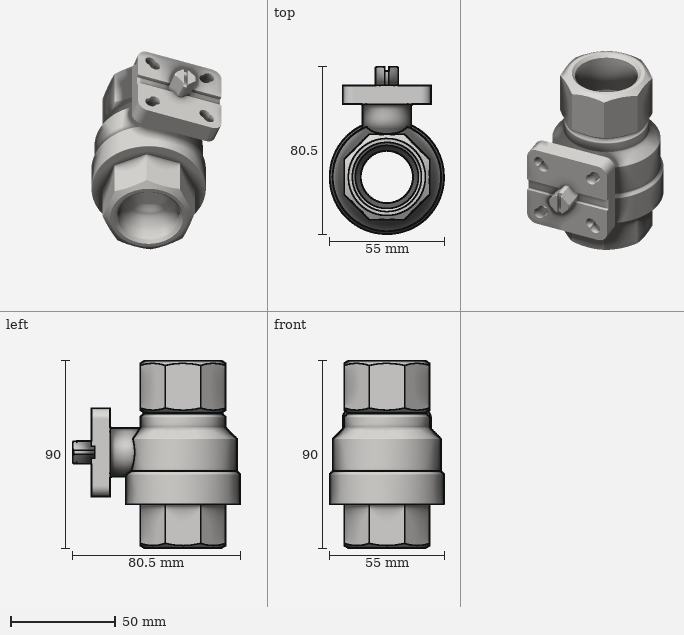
import cadquery as cq
import math

TOP_Z = 44.0
BOTTOM_Z = -46.0

OCTAGON_SIDES = 8
OCTAGON_FLATS = 41.0
OCTAGON_CROWN_DIAMETER = 37.0
CROWN_ANGLE = 32.0
UPPER_OCTAGON_BOTTOM_Z = 19.0

GROOVE_DIAMETER = 37.8
GROOVE_HEIGHT = 0.4
COLLAR_DIAMETER = 41.0
COLLAR_BOTTOM_Z = 12.0
BODY_DIAMETER = 52.0
RING_DIAMETER = 55.0
RING_TOP_Z = -9.0
RING_BOTTOM_Z = -25.0
EDGE_FILLET = 0.4
POSITION_TOLERANCE = 0.01

BORE_DIAMETER = 25.0
SOCKET_DIAMETER = 30.29
SOCKET_MOUTH_DIAMETER = 33.25
SOCKET_DEPTH = 20.0
SOCKET_FLOOR_ANGLE = 45.0

NECK_DIAMETER = 23.5
NECK_FILLET = 1.0
PLATE_SIDE = 42.5
PLATE_CORNER_RADIUS = 5.0
PLATE_OUTER_Y = 44.0
PLATE_THICKNESS = 9.0
PLATE_GROOVE_WIDTH = 5.75
PLATE_GROOVE_DEPTH = 1.7
BOLT_HOLE_DIAMETER = 5.5
BOLT_CIRCLES = (36.0, 42.0)
BOLT_ANGLES = (45, 135, 225, 315)

STEM_END_Y = 53.0
STEM_FLATS = 9.0
STEM_TURN_ANGLE = 45.0
STEM_DIAMETER = 11.0
STEM_END_CHAMFER = 0.6
STEM_SLOT_WIDTH = 2.0
STEM_SLOT_DEPTH = 2.0

PLATE_INNER_Y = PLATE_OUTER_Y - PLATE_THICKNESS
PLATE_GROOVE_FLOOR_Y = PLATE_OUTER_Y - PLATE_GROOVE_DEPTH


def revolve_z(points):
    """Revolve a closed (radius, z) outline about the Z axis."""
    return cq.Workplane("XZ").polyline(points).close().revolve(360, (0, 0), (0, 1))


def plane_and_length(start_y, end_y):
    """Sketch plane at end_y that extrudes toward -Y, and the length that reaches start_y."""
    return cq.Workplane("XZ", origin=(0, end_y, 0)), end_y - start_y


def octagon_end(bottom_z, top_z, crown_top):
    """Octagonal prism crowned by a cone at the bottom and, if asked, at the top."""
    half_sector = 180 / OCTAGON_SIDES
    corner_diameter = OCTAGON_FLATS / math.cos(math.radians(half_sector))
    prism = (
        cq.Workplane("XY", origin=(0, 0, bottom_z))
        .transformed(rotate=(0, 0, half_sector))
        .polygon(OCTAGON_SIDES, corner_diameter)
        .extrude(top_z - bottom_z)
    )
    outer_radius = corner_diameter
    crown_radius = OCTAGON_CROWN_DIAMETER / 2
    crown_drop = (outer_radius - crown_radius) * math.tan(math.radians(CROWN_ANGLE))
    bottom_cone = revolve_z([
        (crown_radius, bottom_z),
        (outer_radius, bottom_z),
        (outer_radius, bottom_z + crown_drop),
    ])
    top_cone = revolve_z([
        (crown_radius, top_z),
        (outer_radius, top_z),
        (outer_radius, top_z - crown_drop),
    ])
    crowned = prism.cut(bottom_cone)
    if crown_top:
        crowned = crowned.cut(top_cone)
    return crowned


def round_body():
    """Groove, collar, 45 degree shoulder, main body and ring, with rounded edges."""
    groove_radius = GROOVE_DIAMETER / 2
    collar_radius = COLLAR_DIAMETER / 2
    body_radius = BODY_DIAMETER / 2
    ring_radius = RING_DIAMETER / 2
    groove_bottom_z = UPPER_OCTAGON_BOTTOM_Z - GROOVE_HEIGHT
    collar_top_z = groove_bottom_z - (collar_radius - groove_radius)
    shoulder_bottom_z = COLLAR_BOTTOM_Z - (body_radius - collar_radius)
    ring_edge_z = RING_TOP_Z - (ring_radius - body_radius)
    body = revolve_z([
        (0, UPPER_OCTAGON_BOTTOM_Z),
        (groove_radius, UPPER_OCTAGON_BOTTOM_Z),
        (groove_radius, groove_bottom_z),
        (collar_radius, collar_top_z),
        (collar_radius, COLLAR_BOTTOM_Z),
        (body_radius, shoulder_bottom_z),
        (body_radius, RING_TOP_Z),
        (ring_radius, ring_edge_z),
        (ring_radius, RING_BOTTOM_Z),
        (0, RING_BOTTOM_Z),
    ])
    filleted_levels = (
        collar_top_z,
        COLLAR_BOTTOM_Z,
        shoulder_bottom_z,
        RING_TOP_Z,
        ring_edge_z,
        RING_BOTTOM_Z,
    )

    def is_filleted(edge):
        return any(abs(edge.Center().z - level) < POSITION_TOLERANCE for level in filleted_levels)

    return body.edges("%CIRCLE").filter(is_filleted).fillet(EDGE_FILLET)


def neck():
    """Round neck from the body axis to the plate, flared where it meets the plate."""
    radius = NECK_DIAMETER / 2
    fillet_start_y = PLATE_INNER_Y - NECK_FILLET
    fillet_leg = NECK_FILLET * (1 - math.sqrt(0.5))
    return (
        cq.Workplane("XY")
        .lineTo(radius, 0)
        .lineTo(radius, fillet_start_y)
        .threePointArc(
            (radius + fillet_leg, PLATE_INNER_Y - fillet_leg),
            (radius + NECK_FILLET, PLATE_INNER_Y),
        )
        .lineTo(0, PLATE_INNER_Y)
        .close()
        .revolve(360, (0, 0), (0, 1))
    )


def mounting_plate():
    """Square plate with rounded corners, overlapping bolt holes and a groove along X."""
    plane, thickness = plane_and_length(PLATE_INNER_Y, PLATE_OUTER_Y)
    plate = plane.rect(PLATE_SIDE, PLATE_SIDE).extrude(thickness)
    plate = plate.edges("|Y").fillet(PLATE_CORNER_RADIUS)
    for bolt_circle in BOLT_CIRCLES:
        for angle in BOLT_ANGLES:
            x = bolt_circle / 2 * math.cos(math.radians(angle))
            z = bolt_circle / 2 * math.sin(math.radians(angle))
            hole = plane.center(x, z).circle(BOLT_HOLE_DIAMETER / 2).extrude(thickness)
            plate = plate.cut(hole)
    groove_plane, groove_depth = plane_and_length(PLATE_GROOVE_FLOOR_Y, PLATE_OUTER_Y)
    return plate.cut(groove_plane.rect(PLATE_SIDE, PLATE_GROOVE_WIDTH).extrude(groove_depth))


def stem():
    """Square stem standing on its corner, corners turned round, slotted along Z."""
    plane, length = plane_and_length(PLATE_INNER_Y, STEM_END_Y)
    square = plane.transformed(rotate=(0, 0, STEM_TURN_ANGLE)).rect(STEM_FLATS, STEM_FLATS).extrude(length)
    turned = plane.circle(STEM_DIAMETER / 2).extrude(length).faces(">Y").chamfer(STEM_END_CHAMFER)
    slot_plane, slot_depth = plane_and_length(STEM_END_Y - STEM_SLOT_DEPTH, STEM_END_Y)
    slot = slot_plane.rect(STEM_SLOT_WIDTH, STEM_DIAMETER).extrude(slot_depth)
    return square.intersect(turned).cut(slot)


def passage():
    """Through bore with a chamfered socket at each end."""
    bore_radius = BORE_DIAMETER / 2
    socket_radius = SOCKET_DIAMETER / 2
    mouth_radius = SOCKET_MOUTH_DIAMETER / 2
    mouth_depth = mouth_radius - socket_radius
    floor_depth = (socket_radius - bore_radius) * math.tan(math.radians(SOCKET_FLOOR_ANGLE))
    return revolve_z([
        (0, TOP_Z),
        (mouth_radius, TOP_Z),
        (socket_radius, TOP_Z - mouth_depth),
        (socket_radius, TOP_Z - SOCKET_DEPTH),
        (bore_radius, TOP_Z - SOCKET_DEPTH - floor_depth),
        (bore_radius, BOTTOM_Z + SOCKET_DEPTH + floor_depth),
        (socket_radius, BOTTOM_Z + SOCKET_DEPTH),
        (socket_radius, BOTTOM_Z + mouth_depth),
        (mouth_radius, BOTTOM_Z),
        (0, BOTTOM_Z),
    ])


result = (
    round_body()
    .union(octagon_end(UPPER_OCTAGON_BOTTOM_Z, TOP_Z, crown_top=True))
    .union(octagon_end(BOTTOM_Z, RING_BOTTOM_Z, crown_top=False))
    .union(neck())
    .union(mounting_plate())
    .union(stem())
    .cut(passage())
)